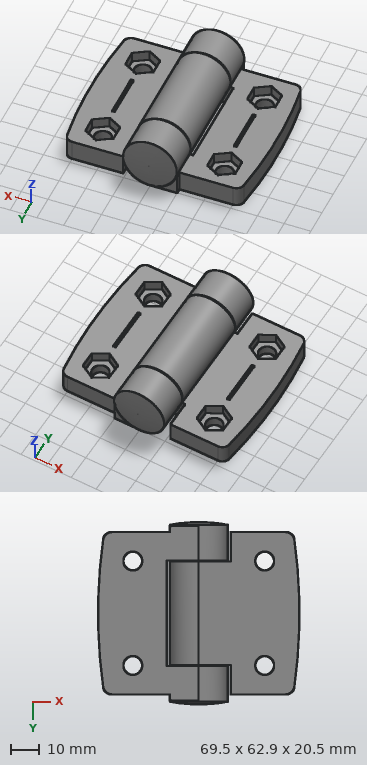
import cadquery as cq
import math

overall_width = 69.5
leaf_length = 56.0
leaf_thickness = 8.05
outer_edge_radius = 184.2
corner_radius = 3.0

barrel_diameter = 20.0
overall_height = 20.5
overall_length = 62.9
dome_height = 1.0
dome_tip_diameter = 0.2
knuckle_gap = 0.3
gap_center_y = 18.0
pin_diameter = 6.95

outer_lug_length = 60.05
leaf_clearance = 1.0

hole_x = 22.7
hole_y = 18.0
hole_diameter = 6.4
hex_across_flats = 10.4
hex_depth = 4.0
groove_width = 1.0
groove_length = 17.0
groove_depth = 1.0

half_width = overall_width / 2
barrel_radius = barrel_diameter / 2
axis_z = overall_height - barrel_radius
outer_knuckle_start = gap_center_y + knuckle_gap / 2
middle_knuckle_end = gap_center_y - knuckle_gap / 2
leaf_inner_x = barrel_radius + leaf_clearance


def box(x_min, x_max, y_min, y_max):
    """Block of leaf thickness standing on the base plane."""
    return (
        cq.Workplane("XY")
        .box(x_max - x_min, y_max - y_min, leaf_thickness, centered=False)
        .translate((x_min, y_min, 0))
    )


def leaf(side):
    """Plate with a bowed outer edge; side is -1 for the left leaf, +1 for the right."""
    half_length = leaf_length / 2
    bow = outer_edge_radius - math.sqrt(outer_edge_radius**2 - half_length**2)
    corner_x = side * (half_width - bow)
    inner_x = side * leaf_inner_x
    return (
        cq.Workplane("XY")
        .moveTo(inner_x, -half_length)
        .lineTo(corner_x, -half_length)
        .threePointArc((side * half_width, 0), (corner_x, half_length))
        .lineTo(inner_x, half_length)
        .close()
        .extrude(leaf_thickness)
        .edges("|Z")
        .edges("<X" if side < 0 else ">X")
        .fillet(corner_radius)
    )


def outer_lug(side):
    """Left-leaf lug under one end knuckle, with the narrower neck that joins it to the leaf."""
    neck = box(-leaf_inner_x, -barrel_radius, outer_knuckle_start, leaf_length / 2)
    lug = box(-barrel_radius, 0, outer_knuckle_start, outer_lug_length / 2)
    both = neck.union(lug)
    return both if side > 0 else both.mirror("XZ")


def middle_lug():
    """Right-leaf lug under the middle knuckle."""
    return box(0, leaf_inner_x, -middle_knuckle_end, middle_knuckle_end)


def barrel():
    """Three knuckles with domed ends on a common pin, revolved about the barrel axis."""
    half_length = overall_length / 2
    rim_y = half_length - dome_height
    tip_radius = dome_tip_diameter / 2
    pin_radius = pin_diameter / 2
    dome_radius = (barrel_radius**2 + dome_height**2) / (2 * dome_height)
    mid_radius = barrel_radius / 2
    mid_y = half_length - dome_radius + math.sqrt(dome_radius**2 - mid_radius**2)
    half_barrel = (
        cq.Workplane("XY")
        .lineTo(barrel_radius, 0)
        .lineTo(barrel_radius, middle_knuckle_end)
        .lineTo(pin_radius, middle_knuckle_end)
        .lineTo(pin_radius, outer_knuckle_start)
        .lineTo(barrel_radius, outer_knuckle_start)
        .lineTo(barrel_radius, rim_y)
        .threePointArc((mid_radius, mid_y), (tip_radius, half_length))
        .lineTo(0, half_length)
        .close()
        .revolve(360, (0, 0, 0), (0, 1, 0))
    )
    return half_barrel.union(half_barrel.mirror("XZ")).translate((0, 0, axis_z))


def fastener_cutters():
    """Through holes with hexagonal nut pockets whose corners point along Y."""
    centers = [(sx * hole_x, sy * hole_y) for sx in (-1, 1) for sy in (-1, 1)]
    holes = cq.Workplane("XY").pushPoints(centers).circle(hole_diameter / 2).extrude(leaf_thickness)
    hexagon = cq.Sketch().regularPolygon(hex_across_flats / math.sqrt(3), 6)
    pockets = (
        cq.Workplane("XY", origin=(0, 0, leaf_thickness - hex_depth))
        .pushPoints(centers)
        .placeSketch(hexagon)
        .extrude(hex_depth)
    )
    return holes.union(pockets)


def groove_cutters():
    """Straight marking groove midway between the holes of each leaf."""
    return (
        cq.Workplane("XY", origin=(0, 0, leaf_thickness - groove_depth))
        .pushPoints([(-hole_x, 0), (hole_x, 0)])
        .rect(groove_width, groove_length)
        .extrude(groove_depth)
    )


result = (
    leaf(-1)
    .union(leaf(1))
    .union(outer_lug(-1))
    .union(outer_lug(1))
    .union(middle_lug())
    .union(barrel())
    .cut(fastener_cutters())
    .cut(groove_cutters())
)